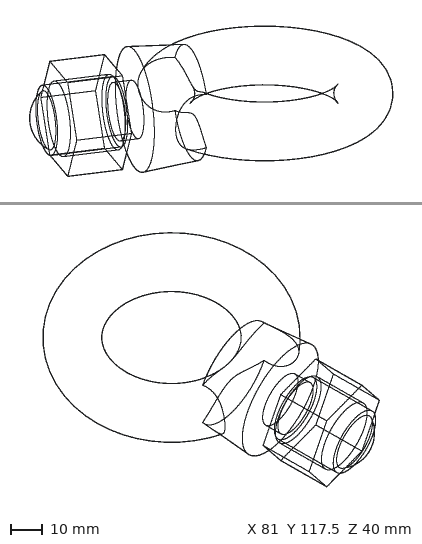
import cadquery as cq
import math

ring_outer_diameter = 81.0
bar_diameter = 18.6
ring_outer_radius = ring_outer_diameter / 2
bar_radius = bar_diameter / 2
ring_center_radius = ring_outer_radius - bar_radius

overall_length = 117.5
collar_base_radius = 20.0
collar_top_radius = 18.5
collar_crown_height = 1.3
thread_radius = 11.2
neck_radius = bar_radius
tip_radius = 9.4
collar_top_y = -24.3
collar_base_y = -42.8
thread_start_y = -48.8
thread_end_y = -71.9
tip_y = ring_outer_radius - overall_length

nut_across_flats = 32.0
nut_height = 18.1
nut_bore_diameter = 24.0
nut_top_y = -49.8


def cap_midpoint(rim_radius, height):
    """Radius and height above the rim of the point halfway along a spherical cap's profile."""
    sphere_radius = (rim_radius**2 + height**2) / (2 * height)
    half_angle = math.asin(rim_radius / sphere_radius) / 2
    return (
        sphere_radius * math.sin(half_angle),
        height - sphere_radius * (1 - math.cos(half_angle)),
    )


def make_ring():
    """Closed round-bar ring."""
    return (
        cq.Workplane("XY")
        .center(ring_center_radius, 0)
        .circle(bar_radius)
        .revolve(360, (-ring_center_radius, 0), (-ring_center_radius, 1))
        .rotate((0, 0, 0), (1, 0, 0), 90)
    )


def make_shank():
    """Crowned tapered collar, neck, thread and domed tip, turned about the Y axis."""
    crown_mid_radius, crown_mid_height = cap_midpoint(collar_top_radius, collar_crown_height)
    tip_mid_radius, tip_mid_height = cap_midpoint(tip_radius, thread_end_y - tip_y)
    return (
        cq.Workplane("XY")
        .moveTo(0, collar_top_y + collar_crown_height)
        .threePointArc(
            (crown_mid_radius, collar_top_y + crown_mid_height),
            (collar_top_radius, collar_top_y),
        )
        .lineTo(collar_base_radius, collar_base_y)
        .lineTo(neck_radius, collar_base_y)
        .lineTo(neck_radius, thread_start_y)
        .lineTo(thread_radius, thread_start_y)
        .lineTo(thread_radius, thread_end_y)
        .lineTo(tip_radius, thread_end_y)
        .threePointArc((tip_mid_radius, thread_end_y - tip_mid_height), (0, tip_y))
        .close()
        .revolve(360, (0, 0), (0, 1))
    )


def make_eye_bolt():
    """Ring and shank forged as one piece."""
    return make_ring().union(make_shank())


def make_nut():
    """Hexagonal nut with flats facing up and down and a plain through bore."""
    across_corners = nut_across_flats / math.cos(math.pi / 6)
    return (
        cq.Workplane("XZ", origin=(0, nut_top_y, 0))
        .polygon(6, across_corners)
        .circle(nut_bore_diameter / 2)
        .extrude(nut_height)
    )


eye_bolt = make_eye_bolt()
nut = make_nut()

result = cq.Compound.makeCompound([eye_bolt.solids().val(), nut.val()])